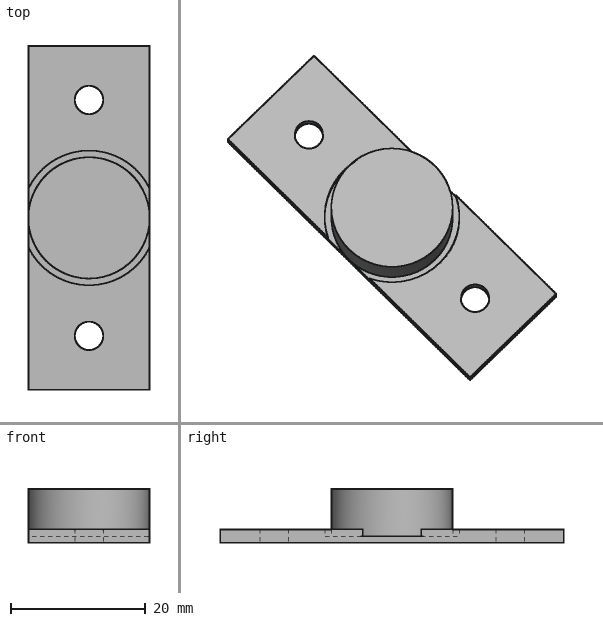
import cadquery as cq

plate_length = 51.0
plate_width = 18.0
plate_thickness = 2.0

total_height = 8.0
boss_diameter = plate_width
recess_diameter = 20.0
recess_depth = plate_thickness / 2
recess_floor = plate_thickness - recess_depth

hole_diameter = 4.2
hole_offset = 17.5


def cylinder(diameter, bottom, top):
    """Upright cylinder on the Z axis between two heights."""
    return cq.Workplane("XY").workplane(offset=bottom).circle(diameter / 2).extrude(top - bottom)


plate = cq.Workplane("XY").rect(plate_width, plate_length).extrude(plate_thickness)

plate = plate.cut(cylinder(recess_diameter, recess_floor, plate_thickness))

for side in (-1, 1):
    hole = cylinder(hole_diameter, 0, plate_thickness)
    plate = plate.cut(hole.translate((0, side * hole_offset, 0)))

boss = cylinder(boss_diameter, recess_floor, total_height)
result = plate.union(boss)